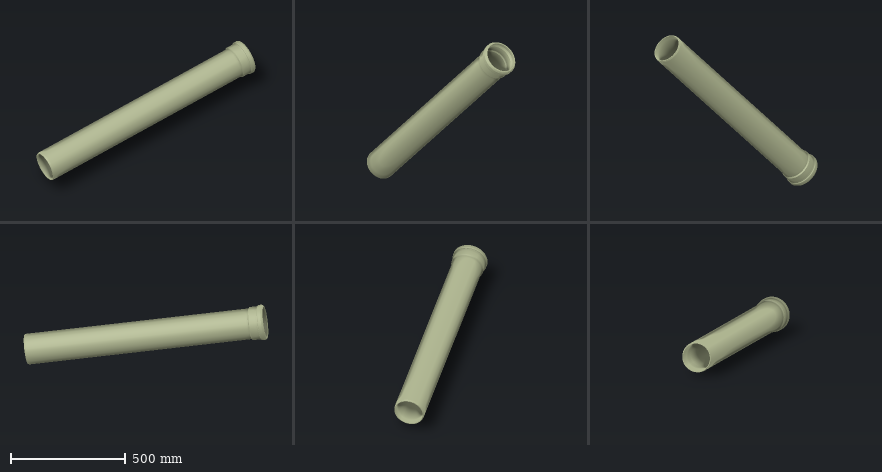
import cadquery as cq

length = 1063.0
pipe_diameter = 135.0
bore_diameter = 124.0
wall = (pipe_diameter - bore_diameter) / 2

spigot_chamfer_length = 7.0
spigot_chamfer_depth = 2.0

socket_bore_diameter = pipe_diameter
socket_diameter = socket_bore_diameter + 2 * wall
socket_depth = 63.0
socket_taper_length = 4.0

lip_diameter = 155.0
lip_root_diameter = 148.0
lip_face_diameter = 141.0
lip_bevel_length = 2.0
lip_nose_length = 9.0
lip_straight_end = 21.0
lip_length = 31.0
groove_diameter = lip_root_diameter

pipe_radius = pipe_diameter / 2
bore_radius = bore_diameter / 2
socket_radius = socket_diameter / 2
socket_bore_radius = socket_bore_diameter / 2
lip_radius = lip_diameter / 2
lip_face_radius = lip_face_diameter / 2
lip_root_radius = lip_root_diameter / 2
lip_back_round = lip_radius - lip_root_radius
groove_radius = groove_diameter / 2
half_length = length / 2
spigot_end = -half_length
mouth = half_length
socket_floor = mouth - socket_depth
taper_end = socket_floor - socket_taper_length
lip_back = mouth - lip_length
lip_shoulder = mouth - lip_straight_end
lip_nose = mouth - lip_nose_length
lip_bevel = mouth - lip_bevel_length
lip_root = lip_shoulder - lip_back_round


def revolve_about_y(profile):
    return profile.close().revolve(360, (0, 0, 0), (0, 1, 0))


def outer_body():
    """Solid envelope: chamfered spigot, pipe, tapered socket and lip."""
    profile = (
        cq.Workplane("XY")
        .moveTo(0, spigot_end)
        .lineTo(pipe_radius - spigot_chamfer_depth, spigot_end)
        .lineTo(pipe_radius, spigot_end + spigot_chamfer_length)
        .lineTo(pipe_radius, taper_end)
        .lineTo(socket_radius, socket_floor)
        .lineTo(socket_radius, lip_back)
        .lineTo(lip_root_radius, lip_root)
        .radiusArc((lip_radius, lip_shoulder), -lip_back_round)
        .lineTo(lip_radius, lip_nose)
        .lineTo(lip_root_radius, lip_bevel)
        .lineTo(lip_face_radius, mouth)
        .lineTo(0, mouth)
    )
    return revolve_about_y(profile)


def inner_cavity():
    """Through bore, widened into the socket and the seal groove."""
    profile = (
        cq.Workplane("XY")
        .moveTo(0, spigot_end)
        .lineTo(bore_radius, spigot_end)
        .lineTo(bore_radius, taper_end)
        .lineTo(socket_bore_radius, socket_floor)
        .lineTo(socket_bore_radius, lip_back)
        .lineTo(groove_radius, lip_shoulder)
        .lineTo(groove_radius, lip_nose)
        .lineTo(socket_bore_radius, mouth)
        .lineTo(0, mouth)
    )
    return revolve_about_y(profile)


result = outer_body().cut(inner_cavity())